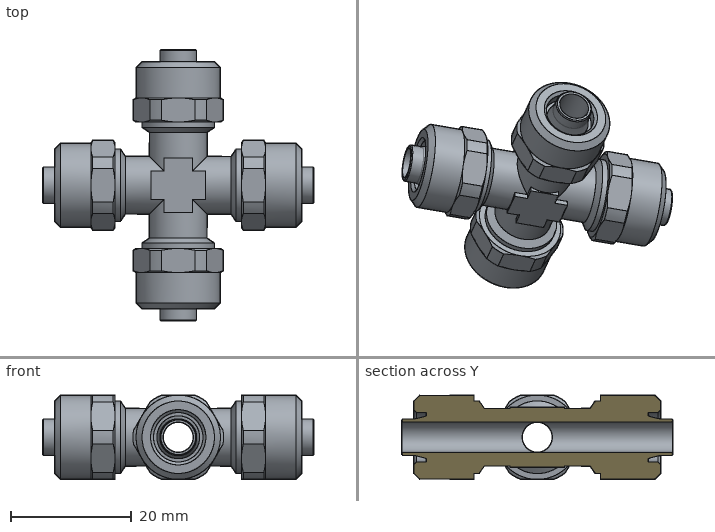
import cadquery as cq
import math

overall_length = 45.0
half_length = overall_length / 2

bore_radius = 2.48
spigot_radius = 3.05
spigot_chamfer = 0.2
spigot_straight = 2.05
spigot_root_radius = 3.55

hex_flats = 14.0
nut_radius = hex_flats / 2
nut_start = 2.0
nut_chamfer = 1.0
socket_radius = 4.1
mouth_chamfer = 0.5
socket_floor = 4.05

hex_start = 8.0
hex_end = 12.0
hex_corner_radius = 7.5
hex_bevel_angle = math.radians(30)

collar_radius = 6.05
collar_cone_start = 12.9
collar_cone_end = 13.72
tube_radius = 4.8

pad_length = 9.1
pad_width = 4.75
pad_top = 5.0


def revolve_about_x(profile):
    """Revolve (distance from tip, radius) points around the X axis, tip at -X."""
    points = [(distance - half_length, radius) for distance, radius in profile]
    return cq.Workplane("XY").polyline(points).close().revolve(360, (0, 0), (1, 0))


def make_turned_end():
    return revolve_about_x([
        (0, 0),
        (0, spigot_radius - spigot_chamfer),
        (spigot_chamfer, spigot_radius),
        (spigot_straight, spigot_radius),
        (socket_floor, spigot_root_radius),
        (socket_floor, socket_radius),
        (nut_start + mouth_chamfer, socket_radius),
        (nut_start, socket_radius + mouth_chamfer),
        (nut_start, nut_radius - nut_chamfer),
        (nut_start + nut_chamfer, nut_radius),
        (hex_end, nut_radius),
        (hex_end, collar_radius),
        (collar_cone_start, collar_radius),
        (collar_cone_end, tube_radius),
        (half_length, tube_radius),
        (half_length, 0),
    ])


def make_hexagon():
    """Hexagon with flats facing +Z and -Z, corners turned down and bevelled."""
    corner_diameter = hex_flats / math.cos(math.pi / 6)
    prism = (
        cq.Workplane("YZ", origin=(hex_start - half_length, 0, 0))
        .polygon(6, corner_diameter)
        .extrude(hex_end - hex_start)
    )
    bevel = (hex_corner_radius - nut_radius) * math.tan(hex_bevel_angle)
    envelope = revolve_about_x([
        (hex_start, 0),
        (hex_start, nut_radius),
        (hex_start + bevel, hex_corner_radius),
        (hex_end - bevel, hex_corner_radius),
        (hex_end, nut_radius),
        (hex_end, 0),
    ])
    return prism.intersect(envelope)


def make_pads():
    bar = cq.Workplane("XY").box(pad_length, pad_width, 2 * pad_top)
    return bar.union(bar.rotate((0, 0, 0), (0, 0, 1), 90))


def make_bore():
    return cq.Workplane("YZ", origin=(-half_length, 0, 0)).circle(bore_radius).extrude(overall_length)


end = make_turned_end().union(make_hexagon())
bore = make_bore()

result = make_pads()
for angle in (0, 90, 180, 270):
    result = result.union(end.rotate((0, 0, 0), (0, 0, 1), angle))
for angle in (0, 90):
    result = result.cut(bore.rotate((0, 0, 0), (0, 0, 1), angle))